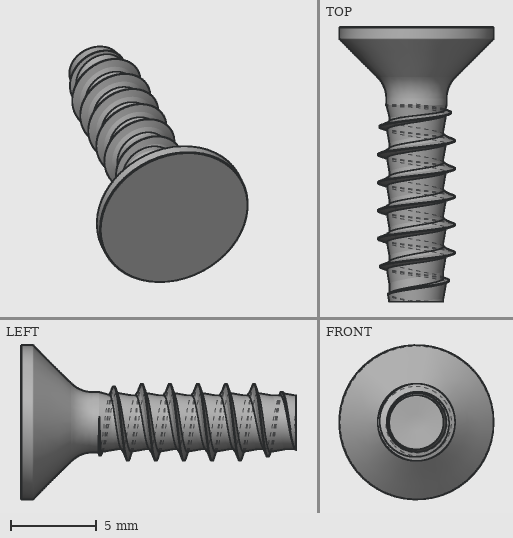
import cadquery as cq
import math


LENGTH = 16.0

HEAD_RADIUS = 4.5
HEAD_RIM = 0.7
HEAD_HALF_ANGLE = 45.0
HEAD_TOP_CHAMFER = 0.05
HEAD_EDGE_FILLET = 0.1
NECK_RADIUS = 1.765
NECK_FILLET = 1.75
NECK_END = 4.54
NECK_TAPER_END = 5.26

CORE_RADIUS = 1.575
DISH_RADIUS = 1.48
DISH_DEPTH = 0.1

PITCH = 1.631
CREST_RADIUS = 2.25
CREST_HALF_WIDTH = 0.025
SHOULDER_RADIUS = 1.83
SHOULDER_OFFSET = -0.18
HEAD_SIDE_OFFSET = -0.36
TIP_SIDE_OFFSET = 0.19
TIP_SIDE_RADIUS = 1.72
RIDGE_INNER_RADIUS = 1.3

LAND_SLOPE = 0.175
LAND_INNER_RADIUS = 1.5
LAND_LEAD_TURNS = 0.5
LAND_FADING_TURNS = 0.75
LAND_FADING_DROP = 0.14

RIDGE_START = 4.585
START_ANGLE = -90.0
LEAD_IN_DEPTH = 4.54
LEAD_IN_TURNS = 0.29
LEAD_IN_CREST_RADIUS = 1.75
START_CREST_RADIUS = 1.95
GROWING_TURNS = 1.0
FULL_TURNS = 4.5
FADING_TURNS = 1.5
END_CREST_RADIUS = 1.55


def helix(radius, depth, angle, turns, rise, growth):
    """Helical edge that advances by rise and widens by growth over the given turns."""
    taper = math.degrees(math.atan2(growth, rise))
    slant = math.hypot(growth, rise)
    if growth:
        wire = cq.Wire.makeHelix(slant / turns, slant, radius, angle=taper)
    else:
        wire = cq.Wire.makeHelix(rise / turns, rise, radius)
    wire = wire.rotate(cq.Vector(0, 0, 0), cq.Vector(0, 0, 1), angle)
    return wire.translate(cq.Vector(0, 0, depth)).Edges()[0]


def cap(profile, depth, growth, angle):
    """Flat face of the profile, standing in the half plane at the given angle."""
    face = cq.Workplane("XZ").polyline([(r + growth, z + depth) for z, r in profile]).close()
    return cq.Face.makeFromWires(face.wires().val()).rotate(
        cq.Vector(0, 0, 0), cq.Vector(0, 0, 1), angle
    )


def helical_solid(profile, depth, angle, growth, stages):
    """Sweep (offset, radius) points through stages of (turns, rise, growth)."""
    faces = [cap(profile, depth, growth, angle)]
    for turns, rise, stage_growth in stages:
        edges = [helix(r + growth, z + depth, angle, turns, rise, stage_growth) for z, r in profile]
        for i, edge in enumerate(edges):
            faces.append(cq.Face.makeRuledSurface(edges[i - 1], edge))
        depth += rise
        growth += stage_growth
        angle += 360.0 * turns
    faces.append(cap(profile, depth, growth, angle))
    solid = cq.Solid.makeSolid(cq.Shell.makeShell(faces))
    return solid if solid.Volume() > 0 else cq.Solid(solid.wrapped.Reversed())


def make_body():
    """Plain head, neck and core as one turned shape."""
    half_angle = math.radians(HEAD_HALF_ANGLE)
    fillet_radius_end = NECK_RADIUS + NECK_FILLET * (1 - math.cos(half_angle))
    fillet_start = HEAD_RIM + (HEAD_RADIUS - fillet_radius_end) / math.tan(half_angle)
    fillet_end = fillet_start + NECK_FILLET * math.sin(half_angle)
    fillet_mid = (
        NECK_RADIUS + NECK_FILLET * (1 - math.cos(half_angle / 2)),
        fillet_end - NECK_FILLET * math.sin(half_angle / 2),
    )
    edge_tangent = HEAD_EDGE_FILLET * math.tan(half_angle / 2)
    edge_inset = edge_tangent * math.sin(half_angle)
    edge_rise = edge_tangent * math.cos(half_angle)
    edge_mid = (
        HEAD_RADIUS - HEAD_EDGE_FILLET * (1 - math.cos(half_angle / 2)),
        HEAD_RIM - edge_tangent + HEAD_EDGE_FILLET * math.sin(half_angle / 2),
    )
    return (
        cq.Workplane("XZ")
        .lineTo(HEAD_RADIUS - HEAD_TOP_CHAMFER, 0)
        .lineTo(HEAD_RADIUS, HEAD_TOP_CHAMFER)
        .lineTo(HEAD_RADIUS, HEAD_RIM - edge_tangent)
        .threePointArc(edge_mid, (HEAD_RADIUS - edge_inset, HEAD_RIM + edge_rise))
        .lineTo(fillet_radius_end, fillet_start)
        .threePointArc(fillet_mid, (NECK_RADIUS, fillet_end))
        .lineTo(NECK_RADIUS, NECK_END)
        .lineTo(CORE_RADIUS, NECK_TAPER_END)
        .lineTo(CORE_RADIUS, LENGTH)
        .lineTo(0, LENGTH)
        .close()
        .revolve(360, (0, 0, 0), (0, 1, 0))
    )


def make_ridge():
    """Sharp thread ridge that grows out of the neck and sinks into the core at the tip."""
    profile = [
        (HEAD_SIDE_OFFSET, RIDGE_INNER_RADIUS),
        (HEAD_SIDE_OFFSET, CORE_RADIUS),
        (SHOULDER_OFFSET, SHOULDER_RADIUS),
        (-CREST_HALF_WIDTH, CREST_RADIUS),
        (CREST_HALF_WIDTH, CREST_RADIUS),
        (TIP_SIDE_OFFSET, TIP_SIDE_RADIUS),
        (TIP_SIDE_OFFSET, RIDGE_INNER_RADIUS),
    ]
    stages = [
        (LEAD_IN_TURNS, RIDGE_START - LEAD_IN_DEPTH, START_CREST_RADIUS - LEAD_IN_CREST_RADIUS),
        (GROWING_TURNS, GROWING_TURNS * PITCH, CREST_RADIUS - START_CREST_RADIUS),
        (FULL_TURNS, FULL_TURNS * PITCH, 0.0),
        (FADING_TURNS, FADING_TURNS * PITCH, END_CREST_RADIUS - CREST_RADIUS),
    ]
    first_angle = START_ANGLE - 360.0 * LEAD_IN_TURNS
    return helical_solid(
        profile, LEAD_IN_DEPTH, first_angle, LEAD_IN_CREST_RADIUS - CREST_RADIUS, stages
    )


def make_land():
    """Helical land that slopes from the ridge down to the core, towards the tip."""
    top_radius = TIP_SIDE_RADIUS + LAND_SLOPE * TIP_SIDE_OFFSET
    width = (top_radius - LAND_INNER_RADIUS) / LAND_SLOPE
    profile = [(0.0, LAND_INNER_RADIUS), (0.0, top_radius), (width, LAND_INNER_RADIUS)]
    ridge_turns = GROWING_TURNS + FULL_TURNS + FADING_TURNS
    even_turns = LAND_LEAD_TURNS + ridge_turns - LAND_FADING_TURNS
    stages = [
        (even_turns, even_turns * PITCH, 0.0),
        (LAND_FADING_TURNS, LAND_FADING_TURNS * PITCH, -LAND_FADING_DROP),
    ]
    first_depth = RIDGE_START - LAND_LEAD_TURNS * PITCH
    first_angle = START_ANGLE - 360.0 * LAND_LEAD_TURNS
    return helical_solid(profile, first_depth, first_angle, 0.0, stages)


def make_tip_dish():
    """Shallow conical hollow in the tip face."""
    return cq.Workplane(cq.Solid.makeCone(0, DISH_RADIUS, DISH_DEPTH)).translate(
        (0, 0, LENGTH - DISH_DEPTH)
    )


def make_screw():
    """Join the parts, with the thread trimmed level with the tip, and lay the screw along Y."""
    full_space = cq.Workplane().circle(HEAD_RADIUS).extrude(LENGTH)
    below_neck = cq.Workplane().workplane(offset=NECK_END).circle(HEAD_RADIUS).extrude(LENGTH - NECK_END)
    land = below_neck.intersect(cq.Workplane(make_land()))
    ridge = full_space.intersect(cq.Workplane(make_ridge()))
    screw = make_body().union(land).union(ridge).cut(make_tip_dish())
    return screw.rotate((0, 0, 0), (1, 0, 0), 90)


result = make_screw()